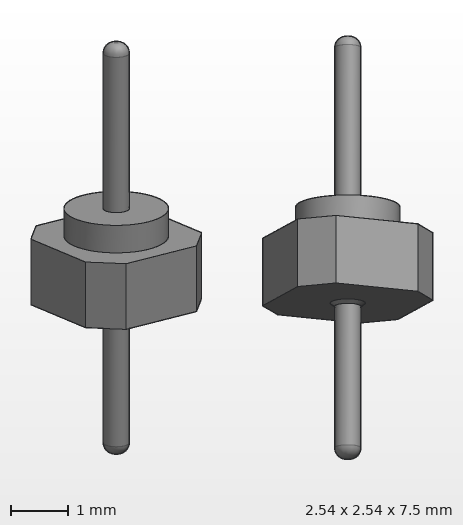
import cadquery as cq

block_width = 2.54
block_height = 1.2
corner_cut = 0.5
boss_diameter = 1.81
boss_height = 0.5

pin_diameter = 0.46
pin_length = 7.5
pin_below_block = 2.77
tip_radius = 0.195
collar_diameter = 0.61
collar_height = 0.06

pin_radius = pin_diameter / 2
collar_radius = collar_diameter / 2
housing_height = block_height + boss_height


def make_housing():
    """Block and boss, standing on Z = 0, with a through hole for the pin."""
    block = cq.Workplane("XY").rect(block_width, block_width).extrude(block_height)
    block = block.edges("|Z").chamfer(corner_cut)
    boss = block.faces(">Z").workplane().circle(boss_diameter / 2).extrude(boss_height)
    hole = cq.Workplane("XY").circle(pin_radius).extrude(housing_height)
    return boss.cut(hole)


def make_pin():
    """Wire with rounded tips, and a tapered collar against the block underside."""
    wire = cq.Workplane("XY").workplane(offset=-pin_below_block).circle(pin_radius).extrude(pin_length)
    wire = wire.faces("<Z or >Z").edges().fillet(tip_radius)
    collar = (
        cq.Workplane("XY")
        .circle(collar_radius)
        .workplane(offset=-collar_height)
        .circle(pin_radius)
        .loft()
    )
    return wire.union(collar)


housing = make_housing()
pin = make_pin()
result = cq.Compound.makeCompound([housing.val(), pin.val()])